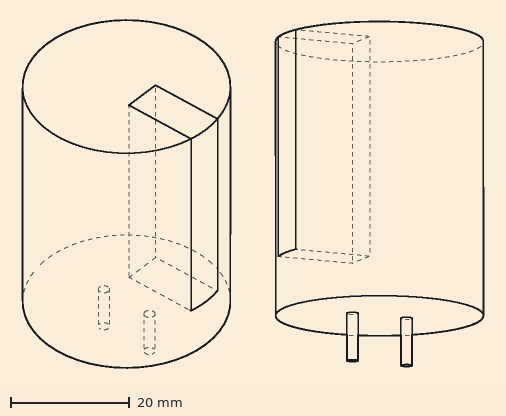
import cadquery as cq

total_height = 55.1
can_diameter = 35.0
pin_length = 8.1
can_height = total_height - pin_length

pin_diameter = 1.9
pin_spacing = 10.05

marker_width = 6.9
marker_inner_x = 3.45
marker_height = 37.65


def make_cylinder():
    """Full outer shape of the can, standing on Z = 0."""
    return cq.Workplane("XY").circle(can_diameter / 2).extrude(can_height)


def make_marker():
    """Block set into the can, its outer face following the can's curve."""
    block_length = can_diameter / 2 - marker_inner_x
    block = (
        cq.Workplane("XY")
        .box(block_length, marker_width, marker_height, centered=(False, True, False))
        .translate((marker_inner_x, 0, can_height - marker_height))
    )
    return block.intersect(make_cylinder())


def make_can(marker):
    """Cylindrical can with a recess that fits the marker."""
    return make_cylinder().cut(marker)


def make_pin(x):
    """Round pin hanging from the bottom face of the can."""
    return cq.Workplane("XY").center(x, 0).circle(pin_diameter / 2).extrude(-pin_length)


marker = make_marker()
can = make_can(marker)
pins = [make_pin(side * pin_spacing / 2) for side in (-1, 1)]

result = cq.Compound.makeCompound([can.val(), marker.val(), *[pin.val() for pin in pins]])